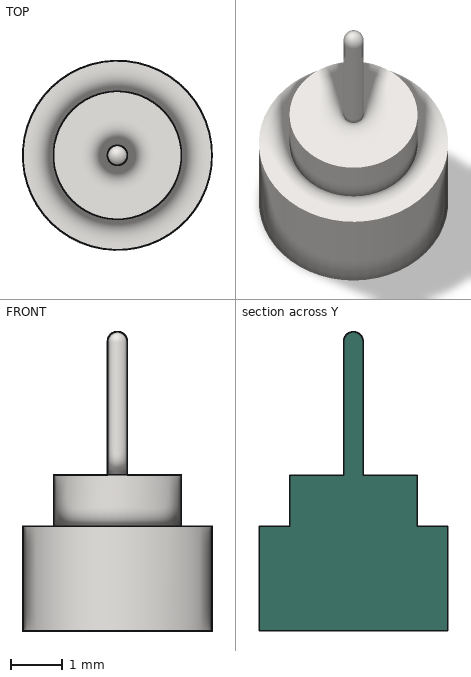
import cadquery as cq

BODY_DIAMETER = 3.7
BODY_HEIGHT = 2.05
COLLAR_DIAMETER = 2.5
COLLAR_HEIGHT = 1.0
INSERT_DIAMETER = 1.95
PIN_DIAMETER = 0.39
OVERALL_HEIGHT = 5.85

COLLAR_TOP = BODY_HEIGHT + COLLAR_HEIGHT
PIN_RADIUS = PIN_DIAMETER / 2
PIN_LENGTH = OVERALL_HEIGHT - COLLAR_TOP


def cylinder(diameter, height, base_level):
    """Upright cylinder on the Z axis, standing on the given level."""
    return cq.Workplane("XY", origin=(0, 0, base_level)).circle(diameter / 2).extrude(height)


def make_shell():
    """Stepped body with a socket for the insert inside the collar."""
    body = cylinder(BODY_DIAMETER, BODY_HEIGHT, 0)
    collar = cylinder(COLLAR_DIAMETER, COLLAR_HEIGHT, BODY_HEIGHT)
    socket = cylinder(INSERT_DIAMETER, COLLAR_HEIGHT, BODY_HEIGHT)
    return body.union(collar).cut(socket)


def make_insert_with_pin():
    """Insert flush with the collar top, carrying the round-nosed pin."""
    insert = cylinder(INSERT_DIAMETER, COLLAR_HEIGHT, BODY_HEIGHT)
    shank = cylinder(PIN_DIAMETER, PIN_LENGTH - PIN_RADIUS, COLLAR_TOP)
    nose = cq.Workplane("XY", origin=(0, 0, OVERALL_HEIGHT - PIN_RADIUS)).sphere(PIN_RADIUS)
    return insert.union(shank).union(nose)


result = make_shell().union(make_insert_with_pin(), clean=False)